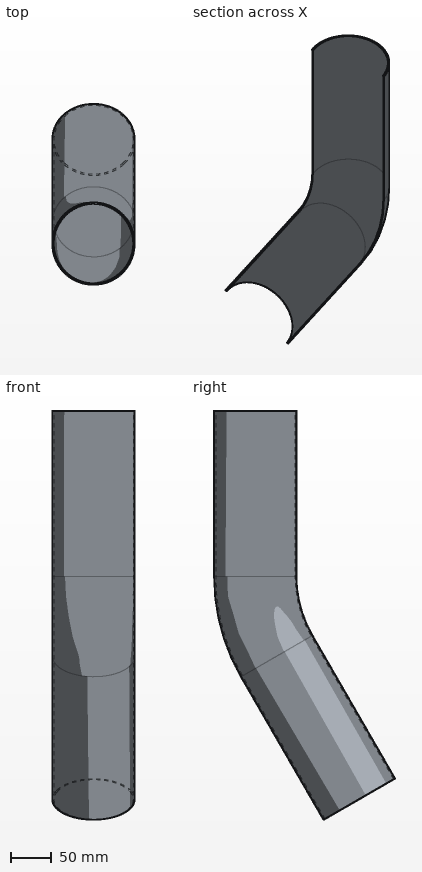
import cadquery as cq
import math

total_height = 503.0
outer_diameter = 101.5
inner_diameter = 97.5
bend_radius = 195.5
bend_angle = 30.0

outer_radius = outer_diameter / 2
bend_sin = math.sin(math.radians(bend_angle))
bend_cos = math.cos(math.radians(bend_angle))

leg_length = (total_height - (bend_radius + outer_radius) * bend_sin) / (1 + bend_cos)


def bend_point(angle):
    """Centreline point (Y, Z) after turning by the given angle in degrees."""
    turn = math.radians(angle)
    return (
        bend_radius * (1 - math.cos(turn)),
        -leg_length - bend_radius * math.sin(turn),
    )


bend_middle = bend_point(bend_angle / 2)
bend_end = bend_point(bend_angle)
lower_end = (bend_end[0] + leg_length * bend_sin, bend_end[1] - leg_length * bend_cos)

centreline = (
    cq.Workplane("YZ")
    .moveTo(0, 0)
    .lineTo(0, -leg_length)
    .threePointArc(bend_middle, bend_end)
    .lineTo(*lower_end)
)

result = (
    cq.Workplane("XY")
    .circle(outer_radius)
    .circle(inner_diameter / 2)
    .sweep(centreline)
)